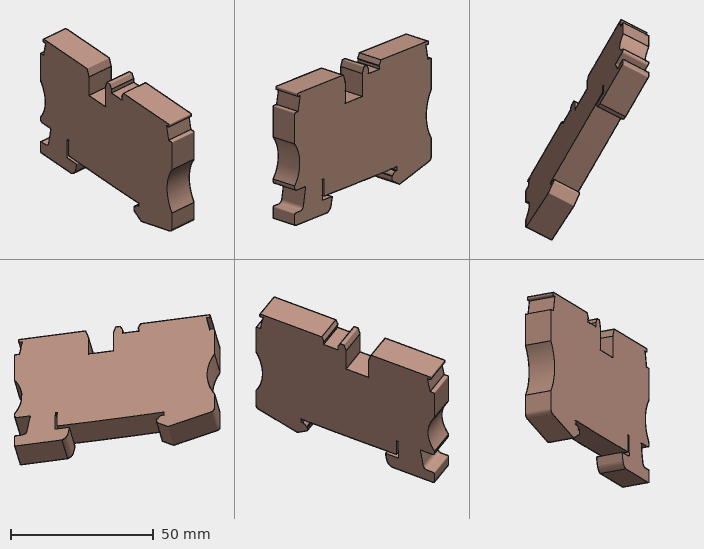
import cadquery as cq

LENGTH = 71.5
THICKNESS = 10.2
HEIGHT = 49.6

LIP_INSET = 1.5
LIP_Z = HEIGHT - 1.3
NECK_TOP_INSET = 2.85
NECK_BOTTOM_INSET = 1.8
SHOULDER_Z = HEIGHT - 6.85
LIP_RADIUS = 0.5
SHOULDER_RADIUS = 0.5

GRIP_TOP_Z = HEIGHT - 18.6
GRIP_DEPTH = 2.65
LEFT_GRIP_BOTTOM_Z = HEIGHT - 34.4
RIGHT_GRIP_BOTTOM_Z = HEIGHT - 37.1

SLOT_LEFT = 26.45
SLOT_RIGHT = 35.4
SLOT_FLOOR_Z = HEIGHT - 10.95
SLOT_LEFT_FLARE = 1.0
SLOT_LEFT_FLARE_Z = HEIGHT - 3.0
SLOT_RIGHT_FLARE = 0.8
SLOT_RIGHT_FLARE_Z = HEIGHT - 2.35

GROOVE_LEFT = 38.7
GROOVE_RIGHT = 44.4
GROOVE_FLOOR_Z = HEIGHT - 3.3
GROOVE_FLARE = 0.85
GROOVE_FLARE_Z = HEIGHT - 1.7
CATCH_X = GROOVE_RIGHT - 0.2
CATCH_TOP_Z = HEIGHT - 1.85
CATCH_BOTTOM_Z = HEIGHT - 2.2
CATCH_FLARE = 0.9
RIB_RADIUS = 0.3

FOOT_BOTTOM_Z = 0.2
FOOT_TOP_Z = HEIGHT - 44.6
FOOT_RADIUS = 0.65
STEM_TOP_X = 5.7
STEM_BOTTOM_X = 4.3
STEM_TOP_Z = HEIGHT - 36.25
STEM_TOP_RADIUS = 0.3
STEM_BOTTOM_RADIUS = 1.65
LEDGE_RADIUS = 1.1
TOE_ARC_START_X = 17.0
TOE_ARC_MIDDLE = (18.4, HEIGHT - 48.5)
TOE_ARC_END = (19.1, HEIGHT - 47.2)
TOE_X = 19.7
TOE_RADIUS = 0.2

RAIL_LIP_Z = HEIGHT - 44.0
GAP_BOTTOM_LEFT = 14.45
GAP_TOP_LEFT = 14.65
GAP_RIGHT = 15.3
GAP_RADIUS = 0.5
SEAT_Z = HEIGHT - 42.6
SEAT_BOW = 0.15
SEAT_RIGHT = 53.4

HOOK_X = 50.8
HOOK_SHELF = 0.4
HOOK_TOP_Z = HEIGHT - 45.4
HOOK_ARC_START_X = 52.8
HOOK_ARC_MIDDLE = (51.85, HEIGHT - 44.5)
HOOK_LOWER_Z = HEIGHT - 47.0
HOOK_TIP_X = 54.85
HOOK_TIP_RADIUS = 0.3
HOOK_NOSE_RADIUS = 0.7
HEEL_Z = HEIGHT - 45.1
HEEL_RADIUS = 1.8


def make_body():
    """Extrude the side outline, clockwise from the left lip, about Y = 0."""
    left_grip_middle = (GRIP_DEPTH, (GRIP_TOP_Z + LEFT_GRIP_BOTTOM_Z) / 2)
    right_grip_middle = (LENGTH - GRIP_DEPTH, (GRIP_TOP_Z + RIGHT_GRIP_BOTTOM_Z) / 2)
    seat_middle = ((GAP_RIGHT + SEAT_RIGHT) / 2, SEAT_Z - SEAT_BOW)

    outline = (
        cq.Workplane("XZ")
        .moveTo(LIP_INSET, HEIGHT)
        .lineTo(SLOT_LEFT - SLOT_LEFT_FLARE, HEIGHT)
        .lineTo(SLOT_LEFT, SLOT_LEFT_FLARE_Z)
        .lineTo(SLOT_LEFT, SLOT_FLOOR_Z)
        .lineTo(SLOT_RIGHT, SLOT_FLOOR_Z)
        .lineTo(SLOT_RIGHT, SLOT_RIGHT_FLARE_Z)
        .lineTo(SLOT_RIGHT + SLOT_RIGHT_FLARE, HEIGHT)
        .lineTo(GROOVE_LEFT - GROOVE_FLARE, HEIGHT)
        .lineTo(GROOVE_LEFT, GROOVE_FLARE_Z)
        .lineTo(GROOVE_LEFT, GROOVE_FLOOR_Z)
        .lineTo(GROOVE_RIGHT, GROOVE_FLOOR_Z)
        .lineTo(GROOVE_RIGHT, CATCH_BOTTOM_Z)
        .lineTo(CATCH_X, CATCH_TOP_Z)
        .lineTo(CATCH_X + CATCH_FLARE, HEIGHT)
        .lineTo(LENGTH - LIP_INSET, HEIGHT)
        .lineTo(LENGTH - LIP_INSET, LIP_Z)
        .lineTo(LENGTH - NECK_TOP_INSET, LIP_Z)
        .lineTo(LENGTH - NECK_BOTTOM_INSET, SHOULDER_Z)
        .lineTo(LENGTH, SHOULDER_Z)
        .lineTo(LENGTH, GRIP_TOP_Z)
        .threePointArc(right_grip_middle, (LENGTH, RIGHT_GRIP_BOTTOM_Z))
        .lineTo(LENGTH, HEEL_Z)
        .lineTo(HOOK_TIP_X, 0)
        .lineTo(HOOK_X, HOOK_LOWER_Z)
        .lineTo(HOOK_X, HOOK_TOP_Z)
        .lineTo(HOOK_X + HOOK_SHELF, HOOK_TOP_Z)
        .threePointArc(HOOK_ARC_MIDDLE, (HOOK_ARC_START_X, RAIL_LIP_Z))
        .lineTo(SEAT_RIGHT, RAIL_LIP_Z)
        .lineTo(SEAT_RIGHT, SEAT_Z)
        .threePointArc(seat_middle, (GAP_RIGHT, SEAT_Z))
        .lineTo(GAP_RIGHT, STEM_TOP_Z)
        .lineTo(GAP_TOP_LEFT, STEM_TOP_Z)
        .lineTo(GAP_BOTTOM_LEFT, RAIL_LIP_Z)
        .lineTo(TOE_X, RAIL_LIP_Z)
        .lineTo(*TOE_ARC_END)
        .threePointArc(TOE_ARC_MIDDLE, (TOE_ARC_START_X, FOOT_BOTTOM_Z))
        .lineTo(0, FOOT_BOTTOM_Z)
        .lineTo(0, FOOT_TOP_Z)
        .lineTo(STEM_BOTTOM_X, FOOT_TOP_Z)
        .lineTo(STEM_TOP_X, STEM_TOP_Z)
        .lineTo(0, STEM_TOP_Z)
        .lineTo(0, LEFT_GRIP_BOTTOM_Z)
        .threePointArc(left_grip_middle, (0, GRIP_TOP_Z))
        .lineTo(0, SHOULDER_Z)
        .lineTo(NECK_BOTTOM_INSET, SHOULDER_Z)
        .lineTo(NECK_TOP_INSET, LIP_Z)
        .lineTo(LIP_INSET, LIP_Z)
        .close()
    )
    return outline.extrude(THICKNESS / 2, both=True)


def round_corner(body, x, z, radius):
    """Round the edge that runs through the thickness at the given corner."""
    corner = cq.selectors.NearestToPointSelector((x, 0, z))
    return body.edges("|Y").edges(corner).fillet(radius)


ROUNDED_CORNERS = [
    (LIP_INSET, HEIGHT, LIP_RADIUS),
    (LIP_INSET, LIP_Z, LIP_RADIUS),
    (LENGTH - LIP_INSET, HEIGHT, LIP_RADIUS),
    (LENGTH - LIP_INSET, LIP_Z, LIP_RADIUS),
    (0, SHOULDER_Z, SHOULDER_RADIUS),
    (LENGTH, SHOULDER_Z, SHOULDER_RADIUS),
    (SLOT_LEFT - SLOT_LEFT_FLARE, HEIGHT, RIB_RADIUS),
    (SLOT_RIGHT + SLOT_RIGHT_FLARE, HEIGHT, RIB_RADIUS),
    (GROOVE_LEFT - GROOVE_FLARE, HEIGHT, RIB_RADIUS),
    (LENGTH, HEEL_Z, HEEL_RADIUS),
    (HOOK_TIP_X, 0, HOOK_TIP_RADIUS),
    (HOOK_X, HOOK_LOWER_Z, HOOK_NOSE_RADIUS),
    (GAP_BOTTOM_LEFT, RAIL_LIP_Z, GAP_RADIUS),
    (TOE_X, RAIL_LIP_Z, TOE_RADIUS),
    (0, FOOT_BOTTOM_Z, FOOT_RADIUS),
    (0, FOOT_TOP_Z, FOOT_RADIUS),
    (STEM_BOTTOM_X, FOOT_TOP_Z, STEM_BOTTOM_RADIUS),
    (STEM_TOP_X, STEM_TOP_Z, STEM_TOP_RADIUS),
    (0, STEM_TOP_Z, LEDGE_RADIUS),
]

result = make_body()
for corner_x, corner_z, corner_radius in ROUNDED_CORNERS:
    result = round_corner(result, corner_x, corner_z, corner_radius)